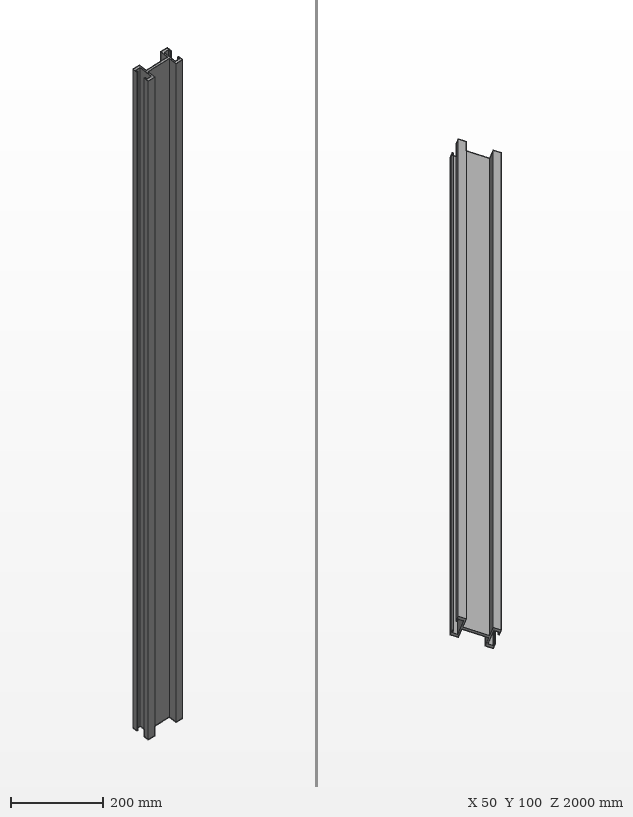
import cadquery as cq

width = 50.0
depth = 100.0
length = 2000.0

web_thickness = 5.0
flange_depth = 19.0
floor_thickness = 5.0
lip_thickness = 3.0
slot_opening = 25.0
slot_inner_width = 35.0

outer_face = depth / 2
flange_back = outer_face - flange_depth
slot_floor = flange_back + floor_thickness
lip_inside = outer_face - lip_thickness


def bar(bar_width, y_start, y_end):
    """Full-length bar centred on X, spanning y_start to y_end."""
    return (
        cq.Workplane("XY")
        .center(0, (y_start + y_end) / 2)
        .rect(bar_width, y_end - y_start)
        .extrude(length)
    )


def slotted_flange():
    """Flange on the +Y side with a T-slot opening through its outer face."""
    flange = bar(width, flange_back, outer_face)
    channel = bar(slot_inner_width, slot_floor, lip_inside)
    opening = bar(slot_opening, slot_floor, outer_face)
    return flange.cut(channel).cut(opening)


web = bar(web_thickness, -flange_back, flange_back)
flange = slotted_flange()
result = web.union(flange).union(flange.mirror("XZ"))